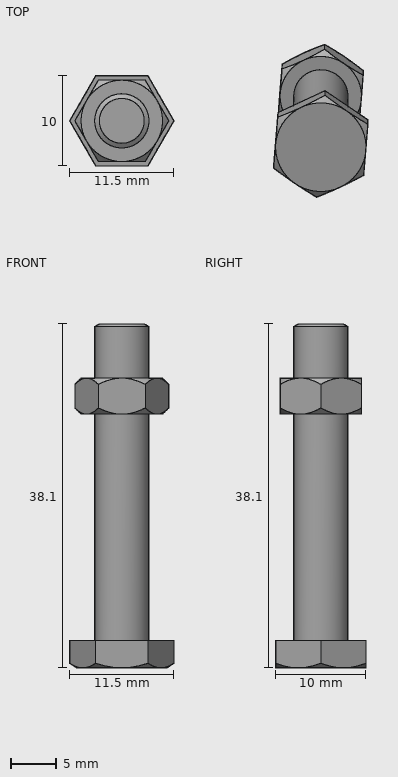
import cadquery as cq
import math

shank_diameter = 6.0
shank_radius = shank_diameter / 2
tip_chamfer_height = 0.3
tip_chamfer_angle = 30.0
tip_chamfer_width = tip_chamfer_height / math.tan(math.radians(tip_chamfer_angle))

head_across_flats = 10.0
head_height = 3.05
head_chamfer_angle = 33.0
shank_length = 35.0
bolt_length = head_height + shank_length

nut_across_flats = 9.0
nut_height = 4.0
nut_chamfer_angle = 45.0
tip_above_nut = 6.0
nut_bottom_z = bolt_length - tip_above_nut - nut_height


def hexagon_corner_radius(across_flats):
    return across_flats / 2 / math.cos(math.radians(30))


def hexagon_prism(across_flats, height):
    """Hexagonal prism on Z = 0, with two corners on the X axis and two flats facing Y."""
    corner_diameter = 2 * hexagon_corner_radius(across_flats)
    return cq.Workplane("XY").polygon(6, corner_diameter).extrude(height)


def turned_blank(across_flats, height, chamfer_angle, chamfered_faces):
    """Round blank over the hexagon corners, chamfered down to the circle inscribed in the flats."""
    corner_radius = hexagon_corner_radius(across_flats)
    chamfer_width = corner_radius - across_flats / 2
    chamfer_height = chamfer_width * math.tan(math.radians(chamfer_angle))
    return (
        cq.Workplane("XY")
        .circle(corner_radius)
        .extrude(height)
        .faces(chamfered_faces)
        .edges()
        .chamfer(chamfer_height, chamfer_width)
    )


def chamfered_hexagon(across_flats, height, chamfer_angle, chamfered_faces):
    """Hexagonal prism with its corners trimmed by a cone at each chosen face."""
    blank = turned_blank(across_flats, height, chamfer_angle, chamfered_faces)
    return hexagon_prism(across_flats, height).intersect(blank)


def make_bolt():
    """Hexagon head chamfered on its outer face, and a plain shank with a chamfered tip."""
    head = chamfered_hexagon(head_across_flats, head_height, head_chamfer_angle, "<Z")
    shank = (
        cq.Workplane("XY")
        .circle(shank_radius)
        .extrude(bolt_length)
        .faces(">Z")
        .chamfer(tip_chamfer_height, tip_chamfer_width)
    )
    return head.union(shank)


def make_nut():
    """Hexagon nut chamfered on both faces, bored to fit the shank."""
    blank = chamfered_hexagon(nut_across_flats, nut_height, nut_chamfer_angle, "<Z or >Z")
    bore = cq.Workplane("XY").circle(shank_radius).extrude(nut_height)
    return blank.cut(bore).translate((0, 0, nut_bottom_z))


bolt = make_bolt()
nut = make_nut()

result = cq.Compound.makeCompound([bolt.solids().val(), nut.solids().val()])